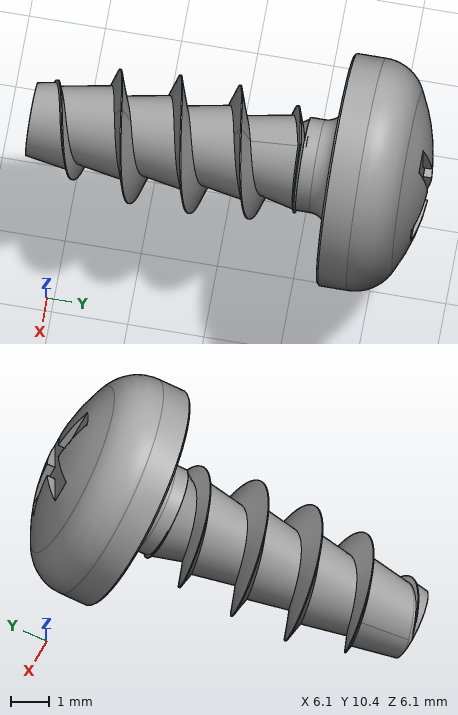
import cadquery as cq
import math


HEAD_RADIUS = 3.05
CROWN_HEIGHT = 2.466
CROWN_ARC_RADIUS = 5.0
CROWN_EDGE_RADIUS = 2.36
RIM_TOP = 0.80
RIM_CHAMFER = 0.05

SLOT_WIDTH = 0.62
SLOT_FLOOR = 2.22

SHANK_LENGTH = 8.0
NECK_RADIUS = 1.22
NECK_FILLET = 0.5
NECK_END = -0.875
CORE_RADIUS = 0.96
TIP_DIMPLE_RADIUS = 0.88
TIP_DIMPLE_DEPTH = 0.055

PITCH = 1.57
HELIX_TOP = -0.94
CREST_RADIUS = 1.75
CREST_FLAT = 0.03
FLANK_ANGLE = 17.0
THREAD_BASE_RADIUS = 0.85
FADE_TOP_TURN = 1.0
FADE_TOP_PER_TURN = 0.35
FADE_TIP_TURN = 3.0
FADE_TIP_PER_TURN = 0.54
RUNOUT_TURN = -1.0
RUNOUT_TOP = -0.80
TIP_TURN = (SHANK_LENGTH + HELIX_TOP) / PITCH

ROOT_UPPER_RADIUS = NECK_RADIUS
ROOT_LOWER_RADIUS = 0.95
TIP_ROOT_RADIUS = 0.97
TIP_OVERRUN = 0.05
ROOT_TURN_GAP = 0.03
POINTS_PER_TURN = 24


def arc_height(centre_height, radius, distance):
    """Height of an arc centred on the axis, at a distance from the axis."""
    return centre_height + math.sqrt(radius**2 - distance**2)


def head_and_shank():
    """Revolve the dome, rim, underside fillet, neck and core about Y."""
    crown_centre = CROWN_HEIGHT - CROWN_ARC_RADIUS
    crown_mid = CROWN_EDGE_RADIUS / 2
    crown_mid_height = arc_height(crown_centre, CROWN_ARC_RADIUS, crown_mid)
    crown_edge_height = arc_height(crown_centre, CROWN_ARC_RADIUS, CROWN_EDGE_RADIUS)

    step_in = HEAD_RADIUS - CROWN_EDGE_RADIUS
    step_up = crown_edge_height - RIM_TOP
    shoulder_radius = (step_in**2 + step_up**2) / (2 * step_in)
    half_angle = math.asin(step_up / shoulder_radius) / 2
    shoulder_mid = HEAD_RADIUS - shoulder_radius * (1 - math.cos(half_angle))
    shoulder_mid_height = RIM_TOP + shoulder_radius * math.sin(half_angle)

    fillet_mid = NECK_FILLET * (1 - math.sqrt(0.5))
    profile = (
        cq.Workplane("XY")
        .moveTo(0, CROWN_HEIGHT)
        .threePointArc((crown_mid, crown_mid_height), (CROWN_EDGE_RADIUS, crown_edge_height))
        .threePointArc((shoulder_mid, shoulder_mid_height), (HEAD_RADIUS, RIM_TOP))
        .lineTo(HEAD_RADIUS, RIM_CHAMFER)
        .lineTo(HEAD_RADIUS - RIM_CHAMFER, 0)
        .lineTo(NECK_RADIUS + NECK_FILLET, 0)
        .threePointArc((NECK_RADIUS + fillet_mid, -fillet_mid), (NECK_RADIUS, -NECK_FILLET))
        .lineTo(NECK_RADIUS, NECK_END)
        .lineTo(CORE_RADIUS, NECK_END)
        .lineTo(CORE_RADIUS, -SHANK_LENGTH)
        .lineTo(0, -SHANK_LENGTH)
        .close()
    )
    return profile.revolve(360, (0, 0, 0), (0, 1, 0))


def cross_recess():
    """Two crossing slots, open through the sides of the dome."""
    long_slot = cq.Workplane("XY").box(2 * HEAD_RADIUS, CROWN_HEIGHT, SLOT_WIDTH)
    slots = long_slot.union(long_slot.rotate((0, 0, 0), (0, 1, 0), 90))
    return slots.translate((0, SLOT_FLOOR + CROWN_HEIGHT / 2, 0))


def crest_height(turn):
    """Height of the helix, which flattens out in the run-out."""
    if turn < 0:
        return HELIX_TOP + (RUNOUT_TOP - HELIX_TOP) * turn / RUNOUT_TURN
    return HELIX_TOP - PITCH * turn


def crest_radius(turn):
    """Crest radius, sinking into the shank at both ends of the thread."""
    top_fade = FADE_TOP_PER_TURN * max(0, FADE_TOP_TURN - turn)
    tip_fade = FADE_TIP_PER_TURN * max(0, turn - FADE_TIP_TURN)
    return CREST_RADIUS - top_fade - tip_fade


def tooth_section(turn):
    """Corners (radius, height) of the V-shaped tooth."""
    crest = crest_radius(turn)
    height = crest_height(turn)
    half_crest = CREST_FLAT / 2
    half_base = half_crest + (crest - THREAD_BASE_RADIUS) * math.tan(math.radians(FLANK_ANGLE))
    return [
        (THREAD_BASE_RADIUS, height + half_base),
        (crest, height + half_crest),
        (crest, height - half_crest),
        (THREAD_BASE_RADIUS, height - half_base),
    ]


def root_section(turn):
    """Corners (radius, height) of the conical root, from one crest down to the next."""
    tip_progress = max(0, turn - (TIP_TURN - 1))
    upper_radius = ROOT_UPPER_RADIUS - (ROOT_UPPER_RADIUS - TIP_ROOT_RADIUS) * tip_progress
    next_crest_height = HELIX_TOP - PITCH * (turn + 1) + ROOT_TURN_GAP
    lower_height = max(next_crest_height, -SHANK_LENGTH - TIP_OVERRUN)
    return [
        (THREAD_BASE_RADIUS, crest_height(turn)),
        (upper_radius, crest_height(turn)),
        (ROOT_LOWER_RADIUS, lower_height),
        (THREAD_BASE_RADIUS, lower_height),
    ]


def point_on_shank(radius, height, turn):
    """Point of a right-handed helix that passes +Z at turn 0 and descends towards -X."""
    angle = math.pi / 2 + 2 * math.pi * turn
    return cq.Vector(radius * math.cos(angle), height, radius * math.sin(angle))


def helical_solid(section, start, end):
    """Carry a four-cornered section along the thread from one turn count to another."""
    steps = math.ceil((end - start) * POINTS_PER_TURN)
    turns = [start + (end - start) * i / steps for i in range(steps + 1)]
    sections = [[point_on_shank(r, h, turn) for r, h in section(turn)] for turn in turns]
    edges = [cq.Edge.makeSpline(list(path), parameters=turns) for path in zip(*sections)]
    faces = [
        cq.Face.makeRuledSurface(edge, edges[(i + 1) % len(edges)])
        for i, edge in enumerate(edges)
    ]
    for corners in (sections[0], sections[-1]):
        faces.append(cq.Face.makeFromWires(cq.Wire.makePolygon(corners, close=True)))
    solid = cq.Solid.makeSolid(cq.Shell.makeShell(faces))
    return cq.Workplane(solid.fix())


def add_turns(body, section, breaks):
    """Join the section to the body, one stretch between breaks at a time."""
    for start, end in zip(breaks, breaks[1:]):
        body = body.union(helical_solid(section, start, end))
    return body


def below_tip():
    """Block that trims the thread flush with the tip."""
    size = 2 * HEAD_RADIUS
    block = cq.Workplane("XY").box(size, size, size)
    return block.translate((0, -SHANK_LENGTH - size / 2, 0))


def tip_dimple():
    """Shallow cone sunk into the tip."""
    return (
        cq.Workplane("XY")
        .moveTo(0, -SHANK_LENGTH)
        .lineTo(TIP_DIMPLE_RADIUS, -SHANK_LENGTH)
        .lineTo(0, -SHANK_LENGTH + TIP_DIMPLE_DEPTH)
        .close()
        .revolve(360, (0, 0, 0), (0, 1, 0))
    )


body = head_and_shank().cut(cross_recess())
body = add_turns(body, root_section, [RUNOUT_TURN, 0, TIP_TURN - 1, TIP_TURN])
body = add_turns(body, tooth_section, [RUNOUT_TURN, 0, FADE_TOP_TURN, FADE_TIP_TURN, TIP_TURN])
result = body.cut(below_tip()).cut(tip_dimple())